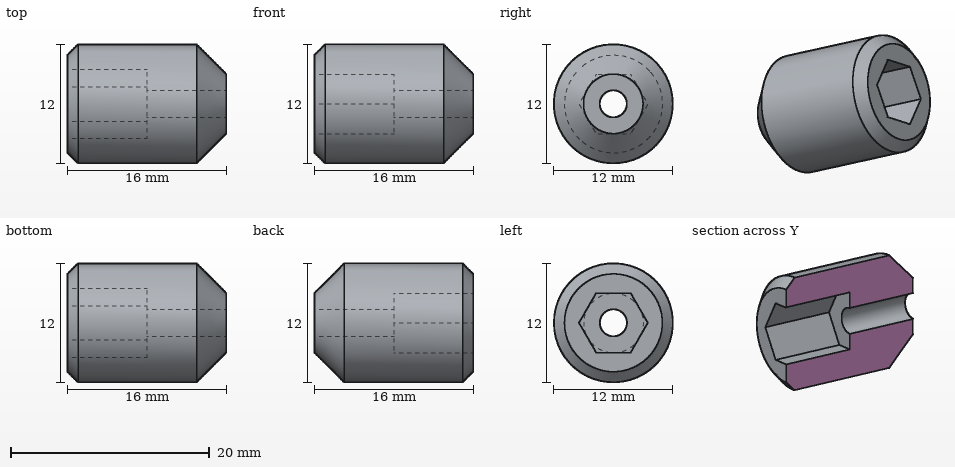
import cadquery as cq
import math

length = 16.0
body_diameter = 12.0
socket_face_diameter = 9.85
tip_diameter = 6.0
hex_across_flats = 6.0
hex_depth = 8.0
bore_diameter = 2.7

socket_chamfer = (body_diameter - socket_face_diameter) / 2
tip_taper = (body_diameter - tip_diameter) / 2
hex_across_corners = hex_across_flats / math.cos(math.radians(30))


def socket_face_plane():
    """Workplane on the -X face, with its normal along +X."""
    return cq.Workplane("YZ", origin=(-length / 2, 0, 0))


def make_body():
    """Cylinder with a chamfered socket end at -X and a conical tip at +X."""
    cylinder = socket_face_plane().circle(body_diameter / 2).extrude(length)
    return cylinder.faces("<X").chamfer(socket_chamfer).faces(">X").chamfer(tip_taper)


def make_hex_socket():
    """Hexagonal pocket with two corners along Y, starting at the -X face."""
    return socket_face_plane().polygon(6, hex_across_corners).extrude(hex_depth)


def make_bore():
    """Round hole along the whole axis."""
    return socket_face_plane().circle(bore_diameter / 2).extrude(length)


result = make_body().cut(make_hex_socket()).cut(make_bore())